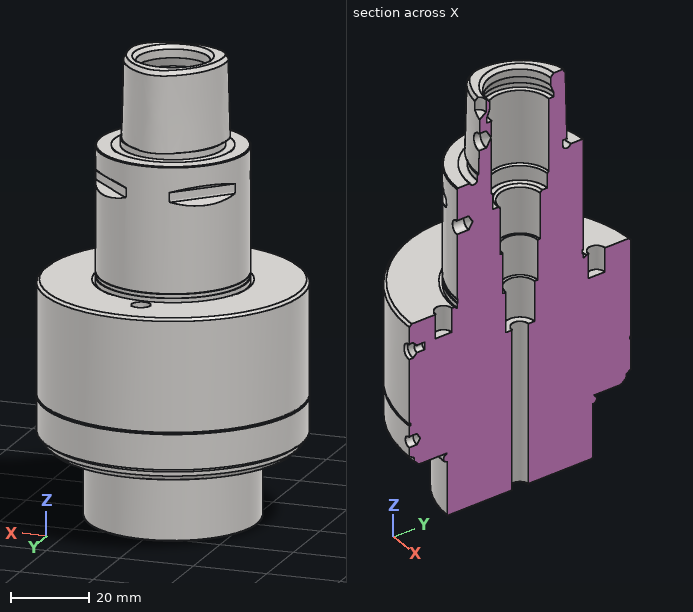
import cadquery as cq
import math

length = 123.0

body_diameter = 70.0
shank_diameter = 39.9
spigot_diameter = 46.0
collar_diameter = 48.5
spigot_top = 16.6
body_bottom = 19.2
body_top = 63.2
flange_face = 99.3

body_edge_chamfer = 0.7
lower_lip_height = 1.5
lower_lip_inset = 1.5
lower_lip_chamfer = 1.6
lower_body_edge = 22.8
lower_edge_chamfer = 1.0
spigot_edge_chamfer = 0.2
joint_height = 32.5
joint_width = 0.5
joint_depth = 0.4
seat_mouth_diameter = 41.6
seat_depth = 0.6
shank_relief_height = 2.1
shank_relief_width = 1.2
shank_relief_depth = 0.2
shank_edge_chamfer = 0.2

polygon_bottom = 101.1
polygon_flat_distance = 13.2
side_radius = 18.7
side_half_angle = 33.5
taper_angle = 1.4
polygon_chamfer_height = 1.2
polygon_chamfer_width = 0.7
neck_diameter = 27.0
face_groove_diameter = 31.7
face_groove_depth = 0.9

mouth_diameter = 21.0
bore_lip_diameter = 19.1
clamp_groove_diameter = 20.9
main_bore_diameter = 18.0
thread_bore_diameter = 17.0
center_mouth_diameter = 13.8
center_bore_diameter = 12.4
step_bore_diameter = 11.0
narrow_bore_diameter = 9.0
through_diameter = 5.0
bore_lip_top = 121.9
bore_lip_bottom = 119.5
clamp_groove_top = 117.1
clamp_groove_bottom = 115.7
main_bore_floor = 93.5
thread_bore_floor = 88.5
center_bore_floor = 73.8
step_bore_floor = 61.5
narrow_bore_floor = 49.2

drill_point_angle = 118.0
entry_overrun = 1.2
polygon_hole_diameter = 5.0
polygon_hole_height = 110.7
polygon_hole_depth = 2.5
shank_hole_diameter = 4.0
shank_hole_height = 87.2
shank_hole_depth = 3.7
screw_hole_diameter = 4.5
screw_socket_diameter = 2.1
screw_hole_height = 54.9
screw_hole_depth = 1.2
screw_socket_depth = 2.5
ring_hole_diameter = 3.2
ring_hole_height = 27.2
ring_hole_depth = 2.5
notch_diameter = 5.0
notch_center = 13.3
notch_depth = 3.8
notch_point_angle = 104.0
face_hole_diameter = 5.0
face_hole_offset = 24.1
face_hole_depth = 7.4

gripper_flat_distance = 17.6
gripper_flat_top = 92.4
gripper_ease_top = 90.3
gripper_flat_bottom = 89.8
gripper_ease_depth = 0.1
gripper_flare = 1.4
gripper_count = 4


def revolve_profile(points):
    """Solid of revolution about Z from (radius, height) points."""
    return cq.Workplane("XZ").polyline(points).close().revolve(360, (0, 0, 0), (0, 1, 0))


def outer_body():
    """Shank, stepped body, rounded collar and spigot in one turned shape."""
    body_radius = body_diameter / 2
    shank_radius = shank_diameter / 2
    spigot_radius = spigot_diameter / 2
    collar_radius = collar_diameter / 2
    relief_radius = shank_radius - shank_relief_depth
    lip_radius = body_radius - lower_lip_inset
    lip_height = body_bottom + lower_lip_height
    collar_round = (body_bottom - spigot_top) / 2
    collar_middle = spigot_top + collar_round
    joint_radius = body_radius - joint_depth
    seat_floor = body_top - seat_depth
    relief_top = body_top + shank_relief_height
    relief_bottom = relief_top - shank_relief_width
    return (
        cq.Workplane("XZ")
        .moveTo(0, 0)
        .lineTo(spigot_radius - spigot_edge_chamfer, 0)
        .lineTo(spigot_radius, spigot_edge_chamfer)
        .lineTo(spigot_radius, spigot_top)
        .threePointArc((collar_radius, collar_middle), (spigot_radius, body_bottom))
        .lineTo(lip_radius - lower_lip_chamfer, body_bottom)
        .lineTo(lip_radius, lip_height)
        .lineTo(lip_radius, lower_body_edge - lower_edge_chamfer)
        .lineTo(body_radius, lower_body_edge)
        .lineTo(body_radius, joint_height - joint_width / 2)
        .lineTo(joint_radius, joint_height - joint_width / 2)
        .lineTo(joint_radius, joint_height + joint_width / 2)
        .lineTo(body_radius, joint_height + joint_width / 2)
        .lineTo(body_radius, body_top - body_edge_chamfer)
        .lineTo(body_radius - body_edge_chamfer, body_top)
        .lineTo(seat_mouth_diameter / 2, body_top)
        .lineTo(shank_radius, seat_floor)
        .lineTo(shank_radius, relief_bottom)
        .lineTo(relief_radius, relief_bottom)
        .lineTo(relief_radius, relief_top - shank_relief_depth)
        .lineTo(shank_radius, relief_top)
        .lineTo(shank_radius, flange_face - shank_edge_chamfer)
        .lineTo(shank_radius - shank_edge_chamfer, flange_face)
        .lineTo(0, flange_face)
        .close()
        .revolve(360, (0, 0, 0), (0, 1, 0))
    )


def polar(radius, angle):
    return (radius * math.cos(math.radians(angle)), radius * math.sin(math.radians(angle)))


def polygon_outline(workplane, inset):
    """Three shallow side arcs joined tangentially by three tighter lobe arcs, shrunk by inset."""
    center_offset = side_radius - polygon_flat_distance
    lobe_half_angle = 60 - side_half_angle
    lobe_center = center_offset * math.sin(math.radians(side_half_angle))
    lobe_center /= math.sin(math.radians(lobe_half_angle))
    join_to_center = center_offset * math.sin(math.radians(120)) / math.sin(math.radians(lobe_half_angle))
    lobe_reach = lobe_center + side_radius - join_to_center - inset

    def side_point(side_angle, turn):
        center_x, center_y = polar(-center_offset, side_angle)
        arc_x, arc_y = polar(side_radius - inset, side_angle + turn)
        return (center_x + arc_x, center_y + arc_y)

    outline = workplane.moveTo(*side_point(-90, -side_half_angle))
    for side_angle in (-90, 30, 150):
        outline = outline.threePointArc(side_point(side_angle, 0), side_point(side_angle, side_half_angle))
        outline = outline.threePointArc(
            polar(lobe_reach, side_angle + 60), side_point(side_angle + 120, -side_half_angle)
        )
    return outline.close()


def loft_polygon(bottom, bottom_inset, top, top_inset):
    lower = polygon_outline(cq.Workplane("XY").workplane(offset=bottom), bottom_inset)
    return polygon_outline(lower.workplane(offset=top - bottom), top_inset).loft(ruled=True)


def polygon_stub():
    """Tapered polygon with a chamfered top, standing on a round neck."""
    chamfer_start = length - polygon_chamfer_height
    taper_inset = (chamfer_start - polygon_bottom) * math.tan(math.radians(taper_angle))
    shaft = loft_polygon(polygon_bottom, 0, chamfer_start, taper_inset)
    tip = loft_polygon(chamfer_start, taper_inset, length, taper_inset + polygon_chamfer_width)
    neck = (
        cq.Workplane("XY")
        .workplane(offset=flange_face)
        .circle(neck_diameter / 2)
        .extrude(polygon_bottom - flange_face)
    )
    return shaft.union(tip).union(neck)


def face_groove():
    """Shallow rounded groove in the flange face around the neck."""
    inner = neck_diameter / 2
    outer = face_groove_diameter / 2
    return (
        cq.Workplane("XZ")
        .moveTo(inner, flange_face)
        .threePointArc(((inner + outer) / 2, flange_face - face_groove_depth), (outer, flange_face))
        .close()
        .revolve(360, (0, 0, 0), (0, 1, 0))
    )


def axial_bore():
    """Stepped bore from the top with an undercut clamping groove, ending in a narrow hole right through."""
    center_chamfer = (center_mouth_diameter - center_bore_diameter) / 2
    thread_chamfer = (main_bore_diameter - thread_bore_diameter) / 2
    steps = [
        (mouth_diameter, length),
        (bore_lip_diameter, bore_lip_top),
        (bore_lip_diameter, bore_lip_bottom),
        (clamp_groove_diameter, clamp_groove_top),
        (clamp_groove_diameter, clamp_groove_bottom),
        (main_bore_diameter, clamp_groove_bottom),
        (main_bore_diameter, main_bore_floor),
        (thread_bore_diameter, main_bore_floor - thread_chamfer),
        (thread_bore_diameter, thread_bore_floor),
        (center_mouth_diameter, thread_bore_floor),
        (center_bore_diameter, thread_bore_floor - center_chamfer),
        (center_bore_diameter, center_bore_floor),
        (step_bore_diameter, center_bore_floor),
        (step_bore_diameter, step_bore_floor),
        (narrow_bore_diameter, step_bore_floor),
        (narrow_bore_diameter, narrow_bore_floor),
        (through_diameter, narrow_bore_floor),
        (through_diameter, 0),
    ]
    wall = [(diameter / 2, height) for diameter, height in steps]
    return revolve_profile([(0, 0), (0, length)] + wall)


def drill(diameter, depth, overrun=0.0, point_angle=drill_point_angle):
    """Drill shape pointing down from Z = 0, with a conical point below its full depth."""
    radius = diameter / 2
    point = radius / math.tan(math.radians(point_angle / 2))
    return revolve_profile([(0, overrun), (radius, overrun), (radius, -depth), (0, -depth - point)])


def from_front(tool, surface_distance, height):
    """Turn a downward tool so that it enters the -Y surface."""
    return tool.rotate((0, 0, 0), (1, 0, 0), 90).translate((0, -surface_distance, height))


def front_holes():
    polygon_hole = drill(polygon_hole_diameter, polygon_hole_depth, entry_overrun)
    shank_hole = drill(shank_hole_diameter, shank_hole_depth, entry_overrun)
    ring_hole = drill(ring_hole_diameter, ring_hole_depth, entry_overrun)
    screw_radius = screw_hole_diameter / 2
    socket_radius = screw_socket_diameter / 2
    socket_start = screw_hole_depth + screw_radius - socket_radius
    socket_end = socket_start + screw_socket_depth
    screw_hole = revolve_profile([
        (0, entry_overrun),
        (screw_radius, entry_overrun),
        (screw_radius, -screw_hole_depth),
        (socket_radius, -socket_start),
        (socket_radius, -socket_end),
        (0, -socket_end),
    ])
    return (
        from_front(polygon_hole, polygon_flat_distance, polygon_hole_height)
        .union(from_front(shank_hole, shank_diameter / 2, shank_hole_height))
        .union(from_front(screw_hole, body_diameter / 2, screw_hole_height))
        .union(from_front(ring_hole, body_diameter / 2, ring_hole_height))
    )


def orientation_notch():
    notch = drill(notch_diameter, notch_depth, point_angle=notch_point_angle)
    return notch.translate((0, -notch_center, length))


def face_holes():
    return (
        cq.Workplane("XY")
        .workplane(offset=body_top)
        .pushPoints([(0, face_hole_offset), (0, -face_hole_offset)])
        .circle(face_hole_diameter / 2)
        .extrude(-face_hole_depth)
    )


def gripper_groove(angle):
    """Straight flared groove across the shank at the given angle about Z."""
    shank_radius = shank_diameter / 2
    section = [
        (gripper_flat_distance, gripper_flat_top),
        (gripper_flat_distance, gripper_ease_top),
        (gripper_flat_distance + gripper_ease_depth, gripper_flat_bottom),
        (shank_radius, gripper_flat_bottom - gripper_flare),
        (shank_radius, gripper_flat_top + gripper_flare),
    ]
    groove = cq.Workplane("XZ").polyline(section).close().extrude(shank_radius, both=True)
    return groove.rotate((0, 0, 0), (0, 0, 1), angle)


result = outer_body().cut(face_groove()).union(polygon_stub())
result = result.cut(axial_bore()).cut(orientation_notch()).cut(front_holes()).cut(face_holes())
for index in range(gripper_count):
    result = result.cut(gripper_groove(45 + index * 360 / gripper_count))